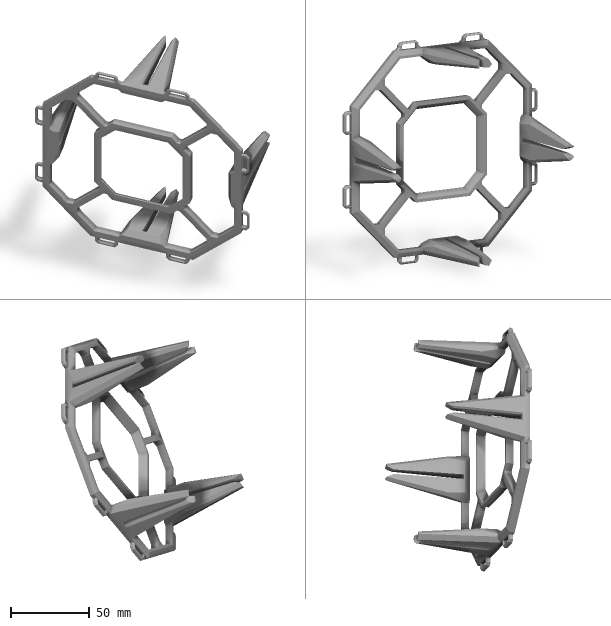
import cadquery as cq
import math

plate_depth = 5.0
frame_half = 67.5
frame_corner = 32.7
rail_width = 4.8
opening_half = frame_half - rail_width
opening_corner = 30.3
rail_bevel_inset = 3.3
rail_bevel_depth = 2.0
bevel_start = plate_depth - rail_bevel_depth

ring_half = 32.5
ring_width = 5.0
ring_corner = 12.5
ring_lip_depth = 0.7
ring_flare = 3.0

spoke_width = 4.0
window_outer_bevel = 3.0
window_inner_bevel = 1.5

leg_top = 55.0
leg_root = bevel_start
leg_crease = 15.0
root_half_width = 15.8
tip_half_width = 5.6
root_thickness = 10.1
tip_thickness = 5.5
leg_bevel_width = 2.2
root_bevel_reach = 20.6
tip_bevel_reach = 9.2
foot_front_inset = 6.9
foot_slant_depth = 4.0

slot_half_width = 1.5
slot_mouth_half_width = 3.5
slot_mouth_length = 4.4
slot_bevel = 1.1

loop_offset = 24.1
loop_width = 15.0
loop_reach = 5.0
loop_depth = 2.8
loop_corner = 1.8
loop_bevel = 1.0
loop_slot_width = 11.5
loop_slot_reach = 3.9
loop_slot_corner = 1.0
gusset_size = 2.0


def slab(points, y_start, y_end):
    """Prism with an XZ outline, from y_start to y_end."""
    plane = cq.Workplane("XZ", origin=(0, y_start, 0))
    return plane.polyline(points).close().extrude(y_start - y_end)


def blend(points_start, points_end, y_start, y_end):
    """Straight-sided solid between two XZ outlines."""
    plane = cq.Workplane("XZ", origin=(0, y_start, 0))
    start = plane.polyline(points_start).close()
    return start.workplane(offset=y_start - y_end).polyline(points_end).close().loft(ruled=True)


def octagon(half, corner):
    """Square of the given half size with 45 degree corner cuts."""
    flat = half - corner
    return [
        (half, -flat), (half, flat), (flat, half), (-flat, half),
        (-half, flat), (-half, -flat), (-flat, -half), (flat, -half),
    ]


def grown_corner(corner, growth):
    """Corner cut of an octagon whose eight sides are all moved out by growth."""
    return corner + growth * (2 - math.sqrt(2))


def mirrored(half):
    """Complete an outline that is symmetric about x = 0 from its +X half."""
    return half + [(-x, other) for x, other in reversed(half)]


def turned(shape, quarter):
    return shape.rotate((0, 0, 0), (0, 1, 0), 90 * quarter)


def window():
    """Opening between the rail, two spokes and the ring, on the -Z side."""
    spoke_gap = spoke_width / math.sqrt(2)
    outer_sum = 2 * opening_half - opening_corner
    ring_sum = 2 * ring_half - ring_corner
    outer_cut = window_outer_bevel / math.sqrt(2)
    inner_cut = window_inner_bevel / math.sqrt(2)
    outer_x = (outer_sum - spoke_gap) / 2
    outer_z = outer_x + spoke_gap
    ring_x = (ring_sum - spoke_gap) / 2
    ring_z = ring_x + spoke_gap
    half = [
        (opening_half - opening_corner, -opening_half),
        (outer_x - outer_cut, -outer_z - outer_cut),
        (outer_x - outer_cut, -outer_z + outer_cut),
        (ring_x + inner_cut, -ring_z - inner_cut),
        (ring_x - inner_cut, -ring_z - inner_cut),
        (ring_half - ring_corner, -ring_half),
    ]
    return slab(mirrored(half), 0, plate_depth)


def ring_bore():
    """Octagonal bore: a short straight lip, then a flare to the back."""
    bore_half = ring_half - ring_width
    bore_corner = grown_corner(ring_corner, -ring_width)
    small = octagon(bore_half, bore_corner)
    large = octagon(bore_half + ring_flare, grown_corner(bore_corner, ring_flare))
    lip = slab(small, 0, ring_lip_depth)
    return lip.union(blend(small, large, ring_lip_depth, plate_depth))


def frame():
    outline = octagon(frame_half, frame_corner)
    back_corner = grown_corner(frame_corner, -rail_bevel_inset)
    back = octagon(frame_half - rail_bevel_inset, back_corner)
    body = slab(outline, 0, bevel_start)
    body = body.union(blend(outline, back, bevel_start, plate_depth))
    for quarter in range(4):
        body = body.cut(turned(window(), quarter))
    return body.cut(ring_bore())


def leg_size(y, root_size, tip_size):
    """Leg dimension at height y, changing evenly from root to tip."""
    share = (y - leg_root) / (leg_top - leg_root)
    return root_size + share * (tip_size - root_size)


def leg_half_width(y):
    return leg_size(y, root_half_width, tip_half_width)


def leg_thickness(y):
    return leg_size(y, root_thickness, tip_thickness)


def leg_section(half_width, thickness, bevel_reach):
    """Leg cross-section: outer edges bevelled, inner edges cut at 45 degrees."""
    half = [
        (half_width - leg_bevel_width, -frame_half),
        (half_width, -frame_half + rail_bevel_inset),
        (half_width, -frame_half + bevel_reach - half_width),
        (bevel_reach - thickness, -frame_half + thickness),
    ]
    return mirrored(half)


def leg_foot(thickness):
    """Block joining the leg to the rail, its inner face slanted at the front."""
    half = [
        (root_bevel_reach - rail_width, -opening_half),
        (root_bevel_reach - thickness, -frame_half + thickness),
    ]
    body = slab(mirrored(half), 0, plate_depth)
    slant = [
        (0, -frame_half + foot_front_inset),
        (foot_slant_depth, -frame_half + thickness),
        (0, -frame_half + thickness),
    ]
    slant_plane = cq.Workplane("YZ", origin=(-root_half_width, 0, 0))
    return body.cut(slant_plane.polyline(slant).close().extrude(2 * root_half_width))


def leg_slot():
    """Through slot with a flared mouth, its long edges bevelled on the outer face."""
    mouth_start = leg_top - slot_mouth_length
    half = [
        (slot_half_width, plate_depth),
        (slot_half_width, mouth_start),
        (slot_mouth_half_width, leg_top),
    ]
    plane = cq.Workplane("XY", origin=(0, 0, -frame_half))
    slot = plane.polyline(mirrored(half)).close().extrude(root_thickness)
    wide = slot_half_width + slot_bevel
    bevel_outline = [
        (-wide, -frame_half),
        (wide, -frame_half),
        (slot_half_width, -frame_half + slot_bevel),
        (-slot_half_width, -frame_half + slot_bevel),
    ]
    return slot.union(slab(bevel_outline, plate_depth, leg_top))


def leg():
    """Slotted, tapering leg on the -Z side."""
    root = leg_section(root_half_width, root_thickness, root_bevel_reach)
    crease = leg_section(leg_half_width(leg_crease), leg_thickness(leg_crease), root_bevel_reach)
    tip = leg_section(tip_half_width, tip_thickness, tip_bevel_reach)
    body = blend(root, crease, leg_root, leg_crease)
    body = body.union(blend(crease, tip, leg_crease, leg_top))

    foot_thickness = leg_thickness(plate_depth)
    clearance = cq.Workplane("XY").box(
        2 * root_half_width, plate_depth, root_thickness, centered=(True, False, False)
    )
    body = body.cut(clearance.translate((0, 0, -opening_half)))
    return body.union(leg_foot(foot_thickness)).cut(leg_slot())


def loop(root_outline):
    """Strap loop centred on x = 0 on the -Z rail; root_outline shapes where it meets the rail."""
    tip_z = -frame_half - loop_reach
    half_width = loop_width / 2
    half = root_outline + [
        (half_width, tip_z + loop_corner),
        (half_width - loop_corner, tip_z),
    ]
    body = slab(mirrored(half), 0, loop_depth)
    body = body.faces(">Y").edges("not >Z").chamfer(loop_bevel)
    return body.cut(loop_slot())


def plain_loop():
    return loop([(loop_width / 2, -opening_half)])


def gusset_loop():
    """Loop with small 45 degree webs at both roots."""
    half_width = loop_width / 2
    return loop([
        (half_width + gusset_size, -opening_half),
        (half_width + gusset_size, -frame_half),
        (half_width, -frame_half - gusset_size),
    ])


def loop_slot():
    half_width = loop_slot_width / 2
    tip_z = -frame_half - loop_slot_reach
    half = [
        (half_width, -frame_half),
        (half_width, tip_z + loop_slot_corner),
        (half_width - loop_slot_corner, tip_z),
    ]
    return slab(mirrored(half), 0, loop_depth)


result = frame()
top_side = 2
for side in range(4):
    result = result.union(turned(leg(), side))
    side_loop = gusset_loop() if side == top_side else plain_loop()
    for offset in (-loop_offset, loop_offset):
        result = result.union(turned(side_loop.translate((offset, 0, 0)), side))